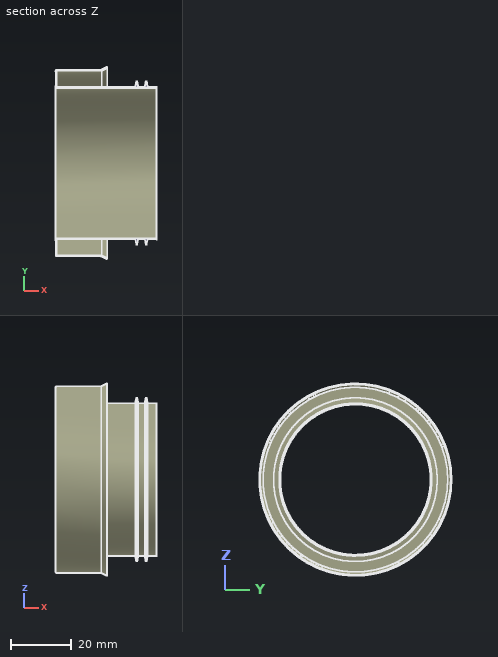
import cadquery as cq
import math

length = 33.5
rim_radius = 31.9
wall = 0.415
sleeve_radius = 62.0 / 2
tube_radius = 25.3
bore_radius = 49.7 / 2

fold_outer_radius = 0.65
sleeve_fold_inner_radius = fold_outer_radius - wall
tube_fold_inner_radius = fold_outer_radius - (tube_radius - bore_radius)

flare_start = 15.25
flare_length = 1.8
flare_angle = math.atan2(rim_radius - sleeve_radius, flare_length)

rib_starts = (26.4, 29.55)
rib_radius = 27.1
rib_base_width = 1.0
rib_tip_width = 0.4
rib_overlap = wall / 2


def revolve(profile):
    """Turn a closed profile drawn in X and radius about the X axis."""
    return profile.close().revolve(360, (0, 0, 0), (1, 0, 0))


def folded_shell():
    """Outer sleeve with flared rim, end wall and inner tube."""
    tip_x = flare_start + flare_length
    lip_x = tip_x + wall * math.sin(flare_angle)
    lip_radius = rim_radius - wall * math.cos(flare_angle)
    inner_bend_x = flare_start + wall * math.tan(flare_angle / 2)
    sleeve_inner_radius = sleeve_radius - wall

    def fold_point(face_x, corner_radius, fold_radius, side):
        """Middle of a quarter-round fold; side is +1 at an outer wall, -1 at an inner wall."""
        inset = fold_radius * (1 - math.sqrt(0.5))
        return (face_x + inset, corner_radius - side * inset)

    sleeve_fold = sleeve_radius - fold_outer_radius
    tube_fold = bore_radius + fold_outer_radius
    tube_fold_inner_x = wall + tube_fold_inner_radius
    profile = (
        cq.Workplane("XY")
        .moveTo(length, bore_radius)
        .lineTo(fold_outer_radius, bore_radius)
        .threePointArc(fold_point(0, bore_radius, fold_outer_radius, -1), (0, tube_fold))
        .lineTo(0, sleeve_fold)
        .threePointArc(
            fold_point(0, sleeve_radius, fold_outer_radius, 1), (fold_outer_radius, sleeve_radius)
        )
        .lineTo(flare_start, sleeve_radius)
        .lineTo(tip_x, rim_radius)
        .lineTo(lip_x, lip_radius)
        .lineTo(inner_bend_x, sleeve_inner_radius)
        .lineTo(fold_outer_radius, sleeve_inner_radius)
        .threePointArc(
            fold_point(wall, sleeve_inner_radius, sleeve_fold_inner_radius, 1), (wall, sleeve_fold)
        )
        .lineTo(wall, tube_fold)
        .threePointArc(
            fold_point(wall, tube_radius, tube_fold_inner_radius, -1),
            (tube_fold_inner_x, tube_radius),
        )
        .lineTo(length, tube_radius)
    )
    return revolve(profile)


def rib(start):
    """Ring with a tapered cross-section, sunk slightly into the tube wall."""
    end = start + rib_base_width
    tip_start = start + (rib_base_width - rib_tip_width) / 2
    root_radius = tube_radius - rib_overlap
    profile = (
        cq.Workplane("XY")
        .moveTo(start, root_radius)
        .lineTo(start, tube_radius)
        .lineTo(tip_start, rib_radius)
        .lineTo(tip_start + rib_tip_width, rib_radius)
        .lineTo(end, tube_radius)
        .lineTo(end, root_radius)
    )
    return revolve(profile)


result = folded_shell()
for rib_start in rib_starts:
    result = result.union(rib(rib_start))